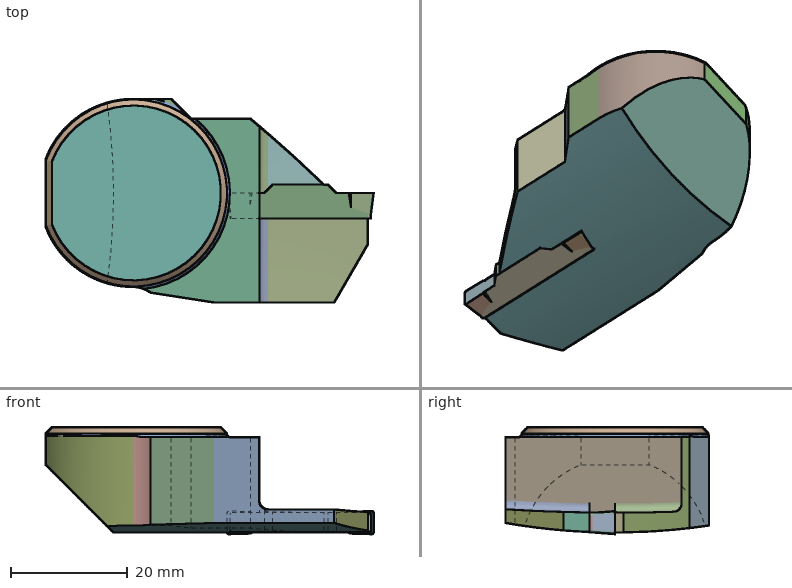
import cadquery as cq
import math


OVERALL_HEIGHT = 18.33
DISK_RADIUS = 16.0
DISK_HEIGHT = 1.7
DISK_CHAMFER = 1.05
DISK_ROOT_FILLET = 0.5
FLAT_X = -15.0
DECK_Z = OVERALL_HEIGHT - DISK_HEIGHT

BODY_RADIUS = DISK_RADIUS + 0.1
SHOULDER_X = 6.45
BACK_Y = 12.7
BACK_END_X = 20.0
SIDE_Y = -18.75
SIDE_START_X = 13.8
SIDE_END_X = 34.34
BLADE_END_X = 40.08
NOSE_ANGLE = math.radians(60)
JAW_SLOPE = math.radians(41.9)
JAW_BULGE = 0.15
WAIST_X = 2.95
WAIST_RADIUS = 5.0
WAIST_DROP = WAIST_RADIUS - math.sqrt(WAIST_RADIUS**2 - WAIST_X**2)

UNDERSIDE_Z = 0.30
UNDERSIDE_RADIUS = 108.0
HEEL_Z = 11.9
BLADE_START_X = 21.53
BLADE_TOP_RADIUS = 300.0
BLADE_FILLET = 1.5

CUT_WIDTH = 4.0
TIP_X = 41.1
INSERT_LENGTH = 25.1
INSERT_DEPTH = 4.4
INSERT_CENTER_X = TIP_X - INSERT_LENGTH / 2
INSERT_CENTER_Z = CUT_WIDTH / 2
SHANK_WIDTH = CUT_WIDTH - 2 * UNDERSIDE_Z
SHANK_TOP_Z = INSERT_CENTER_Z + SHANK_WIDTH / 2
RIDGE_HEIGHT = 1.42
RIDGE_HALF_LENGTH = 4.75
RIDGE_BASE_HALF_LENGTH = RIDGE_HALF_LENGTH + RIDGE_HEIGHT
HEAD_LENGTH = 3.9
HEAD_BACK_NARROWING = 0.11
HEAD_CLEARANCE_DEPTH = 3.8
FRONT_CLEARANCE = 0.5
HEAD_RAMP_RUN = 1.8
HEAD_RAMP_RISE = 0.9
CORNER_RADIUS = 0.4

CLEAR = 60.0


def x_cylinder(radius, lowest_z, start_x):
    """Large cylinder along X whose lowest line is at lowest_z, above Y = 0."""
    return (
        cq.Workplane("YZ", origin=(start_x, 0, lowest_z + radius))
        .circle(radius)
        .extrude(2 * CLEAR)
    )


def holder_prism():
    """Full-height prism with the outline of the holder."""
    flat_half = math.sqrt(BODY_RADIUS**2 - FLAT_X**2)
    waist_angle = math.asin(WAIST_X / WAIST_RADIUS) / 2
    waist_mid = (
        WAIST_RADIUS * math.sin(waist_angle),
        -BODY_RADIUS - WAIST_RADIUS * (1 - math.cos(waist_angle)),
    )
    diagonal = BODY_RADIUS * math.sqrt(0.5)
    jaw_end_x = BACK_END_X + (BACK_Y - RIDGE_HEIGHT) / math.tan(JAW_SLOPE)
    nose_y = SIDE_Y + (BLADE_END_X - SIDE_END_X) * math.tan(NOSE_ANGLE)
    return (
        cq.Workplane("XY")
        .moveTo(FLAT_X, -flat_half)
        .lineTo(FLAT_X, flat_half)
        .threePointArc((-diagonal, diagonal), (0, BODY_RADIUS))
        .lineTo(SHOULDER_X, BODY_RADIUS)
        .lineTo(SHOULDER_X + BODY_RADIUS - BACK_Y, BACK_Y)
        .lineTo(BACK_END_X, BACK_Y)
        .sagittaArc((jaw_end_x, RIDGE_HEIGHT), JAW_BULGE)
        .lineTo(jaw_end_x, -INSERT_DEPTH)
        .lineTo(BLADE_END_X, -INSERT_DEPTH)
        .lineTo(BLADE_END_X, nose_y)
        .lineTo(SIDE_END_X, SIDE_Y)
        .lineTo(SIDE_START_X, SIDE_Y)
        .lineTo(WAIST_X, -BODY_RADIUS - WAIST_DROP)
        .threePointArc(waist_mid, (0, -BODY_RADIUS))
        .threePointArc((-diagonal, -diagonal), (FLAT_X, -flat_half))
        .close()
        .extrude(OVERALL_HEIGHT)
    )


def disk():
    """Chamfered round disk on the deck, with one flat chamfered like the rim."""
    rim = (
        cq.Workplane("XY", origin=(0, 0, DECK_Z))
        .circle(DISK_RADIUS)
        .extrude(DISK_HEIGHT)
        .faces(">Z")
        .chamfer(DISK_CHAMFER)
    )
    kept_of_flat = (
        cq.Workplane("XZ", origin=(0, CLEAR / 2, 0))
        .moveTo(FLAT_X, DECK_Z)
        .lineTo(FLAT_X, OVERALL_HEIGHT - DISK_CHAMFER)
        .lineTo(FLAT_X + DISK_CHAMFER, OVERALL_HEIGHT)
        .lineTo(CLEAR, OVERALL_HEIGHT)
        .lineTo(CLEAR, DECK_Z)
        .close()
        .extrude(CLEAR)
    )
    return rim.intersect(kept_of_flat)


def disk_root():
    """Concave fillet ring between the disk wall and the deck."""
    outer_radius = DISK_RADIUS + DISK_ROOT_FILLET
    fillet_top_z = DECK_Z + DISK_ROOT_FILLET
    inset = DISK_ROOT_FILLET * (1 - math.sqrt(0.5))
    return (
        cq.Workplane("XZ")
        .moveTo(DISK_RADIUS - DISK_ROOT_FILLET, DECK_Z)
        .lineTo(outer_radius, DECK_Z)
        .threePointArc((DISK_RADIUS + inset, DECK_Z + inset), (DISK_RADIUS, fillet_top_z))
        .lineTo(DISK_RADIUS - DISK_ROOT_FILLET, fillet_top_z)
        .close()
        .revolve(360, (0, 0, 0), (0, 1, 0))
    )


def heel_cut():
    """45 degree wedge removed below the flat."""
    return (
        cq.Workplane("XZ", origin=(0, CLEAR / 2, 0))
        .moveTo(FLAT_X, HEEL_Z)
        .lineTo(FLAT_X + HEEL_Z, 0)
        .lineTo(FLAT_X, 0)
        .close()
        .extrude(CLEAR)
    )


def blade_recess():
    """Space above the thin blade, rounded where it meets the upright wall."""
    recess = x_cylinder(BLADE_TOP_RADIUS, SHANK_TOP_Z, BLADE_START_X)
    return recess.faces("<X").edges().fillet(BLADE_FILLET)


def insert_profile(half_length):
    """Side outline of the insert: a straight shank with a raised ridge in the middle."""
    return (
        cq.Workplane("XY", origin=(INSERT_CENTER_X, 0, 0))
        .moveTo(-half_length, -INSERT_DEPTH)
        .lineTo(half_length, -INSERT_DEPTH)
        .lineTo(half_length, 0)
        .lineTo(RIDGE_BASE_HALF_LENGTH, 0)
        .lineTo(RIDGE_HALF_LENGTH, RIDGE_HEIGHT)
        .lineTo(-RIDGE_HALF_LENGTH, RIDGE_HEIGHT)
        .lineTo(-RIDGE_BASE_HALF_LENGTH, 0)
        .lineTo(-half_length, 0)
        .close()
    )


def head_section(front_x, half_width):
    """Symmetric outline of a cutting head, as (X, Z) points about the insert axis."""
    back_x = TIP_X - HEAD_LENGTH
    back_half = half_width - HEAD_BACK_NARROWING
    upper = [
        (front_x, half_width),
        (back_x, back_half),
        (back_x - HEAD_RAMP_RUN, back_half - HEAD_RAMP_RISE),
    ]
    lower = [(x, -z) for x, z in reversed(upper)]
    return upper + lower


def cutting_head():
    """Head that narrows below its rake face (at Y = 0), giving side and front clearance."""
    head = (
        cq.Workplane("XZ", origin=(0, 0, INSERT_CENTER_Z))
        .polyline(head_section(TIP_X, CUT_WIDTH / 2))
        .close()
        .workplane(offset=HEAD_CLEARANCE_DEPTH)
        .polyline(head_section(TIP_X - FRONT_CLEARANCE, SHANK_WIDTH / 2))
        .close()
        .loft(ruled=True)
    )
    return head.faces(">X").edges("not |Z").fillet(CORNER_RADIUS)


def cutting_insert():
    """Shank with one cutting head at each end."""
    shank_half_length = INSERT_LENGTH / 2 - FRONT_CLEARANCE
    shank = (
        insert_profile(shank_half_length)
        .extrude(SHANK_WIDTH)
        .translate((0, 0, UNDERSIDE_Z))
    )
    for end in ("<X", ">X"):
        shank = shank.faces(end).edges("|Y").fillet(CORNER_RADIUS)
    head = cutting_head()
    far_head = head.mirror("YZ", (INSERT_CENTER_X, 0, 0))
    return shank.union(head).union(far_head)


def seat_opening():
    """Opens the insert seat upward through the blade, in front of the upright wall."""
    front = cq.Workplane("XY", origin=(BLADE_START_X, 0, UNDERSIDE_Z)).box(
        CLEAR, CLEAR, DECK_Z - UNDERSIDE_Z, centered=(False, True, False)
    )
    return insert_profile(INSERT_LENGTH / 2).extrude(DECK_Z).intersect(front)


def holder(insert):
    """Holder body with a matching seat for the insert."""
    outline = holder_prism()
    body = outline.intersect(
        cq.Workplane("XY").box(2 * CLEAR, CLEAR, DECK_Z, centered=(True, True, False))
    )
    body = body.intersect(x_cylinder(UNDERSIDE_RADIUS, UNDERSIDE_Z, -CLEAR))
    body = body.cut(heel_cut())
    body = body.cut(blade_recess())
    body = body.union(disk_root().intersect(outline)).union(disk())
    return body.cut(seat_opening()).cut(insert)


insert_body = cutting_insert()
holder_body = holder(insert_body)

result = cq.Compound.makeCompound([holder_body.solids().val(), insert_body.solids().val()])